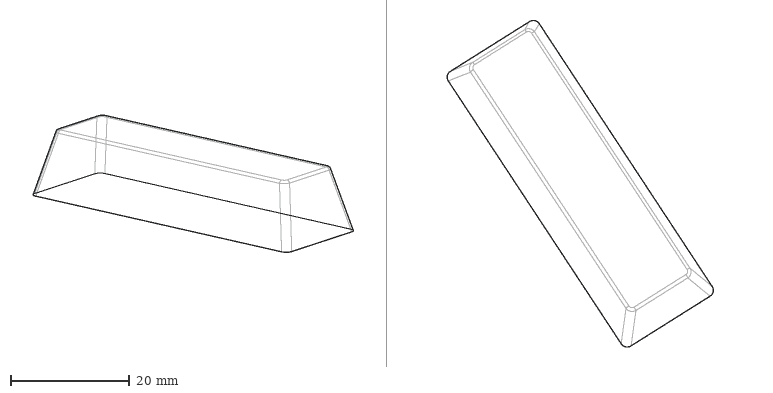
import cadquery as cq

LENGTH = 56.4
WIDTH = 18.3
HEIGHT = 11.4

DRAFT_ANGLE = 14.0
CORNER_RADIUS = 1.25
TOP_EDGE_RADIUS = 0.6


def tapered_block():
    """Rectangular base on Z = 0, narrowing evenly towards the top."""
    return cq.Workplane("XY").rect(LENGTH, WIDTH).extrude(HEIGHT, taper=DRAFT_ANGLE)


def round_slanted_corners(body):
    """Round the edges that join neighbouring side walls."""
    return body.edges("not(<Z or >Z)").fillet(CORNER_RADIUS)


def round_top_edge(body):
    """Round the rim where the side walls meet the top face."""
    return body.faces(">Z").edges().fillet(TOP_EDGE_RADIUS)


result = round_top_edge(round_slanted_corners(tapered_block()))